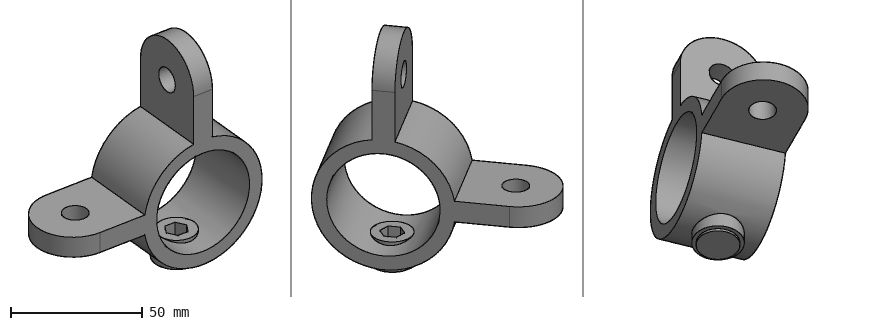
import cadquery as cq
import math

width = 34.0
ring_outer_radius = 28.0
ring_inner_radius = 22.0

lug_reach = 66.0
lug_thickness = 9.0
lug_hole_diameter = 10.5
lug_hole_distance = 48.0
lug_end_radius = width / 2
lug_arc_distance = lug_reach - lug_end_radius

boss_diameter = 20.0
boss_bottom = -32.4
screw_diameter = 16.7
screw_top = -20.4
screw_bottom = -33.5
socket_across_flats = 8.4
socket_depth = 8.0
socket_corner_diameter = socket_across_flats / math.cos(math.pi / 6)


def x_cylinder(radius):
    """Cylinder along X, as wide as the clamp and centred on the origin."""
    return cq.Workplane("YZ").circle(radius).extrude(width / 2, both=True)


def upright_lug():
    """Flat lug rising from the ring axis, with a round end and a bolt hole."""
    return (
        cq.Workplane("XZ")
        .moveTo(-lug_end_radius, 0)
        .lineTo(-lug_end_radius, lug_arc_distance)
        .threePointArc((0, lug_reach), (lug_end_radius, lug_arc_distance))
        .lineTo(lug_end_radius, 0)
        .close()
        .moveTo(0, lug_hole_distance)
        .circle(lug_hole_diameter / 2)
        .extrude(lug_thickness / 2, both=True)
    )


def z_cylinder(diameter, bottom, top):
    """Vertical cylinder on the Z axis between two heights."""
    return cq.Workplane("XY").workplane(offset=bottom).circle(diameter / 2).extrude(top - bottom)


def make_clamp():
    """Ring with both lugs and the bored boss."""
    top_lug = upright_lug()
    side_lug = top_lug.rotate((0, 0, 0), (1, 0, 0), 90)
    boss = z_cylinder(boss_diameter, boss_bottom, 0)
    body = x_cylinder(ring_outer_radius).union(top_lug).union(side_lug).union(boss)
    screw_bore = z_cylinder(screw_diameter, screw_bottom, 0)
    return body.cut(x_cylinder(ring_inner_radius)).cut(screw_bore)


def make_set_screw():
    """Plain set screw with a hexagon socket in its top, corners on the Y axis."""
    screw = z_cylinder(screw_diameter, screw_bottom, screw_top)
    socket = (
        cq.Workplane("XY")
        .workplane(offset=screw_top)
        .polygon(6, socket_corner_diameter)
        .extrude(-socket_depth)
        .rotate((0, 0, 0), (0, 0, 1), 90)
    )
    return screw.cut(socket)


clamp = make_clamp()
set_screw = make_set_screw()
result = cq.Compound.makeCompound([clamp.solids().val(), set_screw.solids().val()])